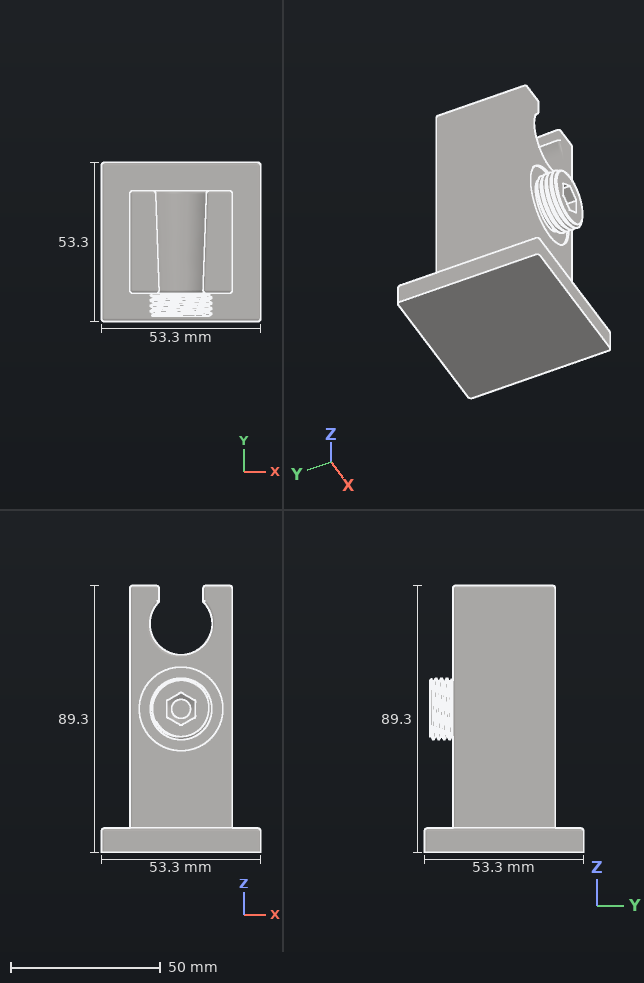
import cadquery as cq
import math

base_side = 53.34
base_height = 8.2
base_edge_radius = 1.15

total_height = 89.28
column_side = 34.29
column_edge_radius = 1.016
column_front = -column_side / 2

bore_height = 76.5
bore_front_radius = 10.35
gap_front_width = 14.6
cradle_draft = 2.0
cradle_spread = column_side * math.tan(math.radians(cradle_draft))

outlet_height = 48.0
recess_diameter = 28.0
recess_depth = 0.635

outlet_length = 7.62
outlet_tip = column_front - outlet_length
thread_pitch = 1.814
thread_major_radius = 20.6 / 2
thread_root_radius = 18.5 / 2
thread_turns = 6
thread_phase = 0.23
thread_start = thread_phase - thread_pitch
thread_end_chamfer = 0.75
thread_flank_angle = 27.5
thread_crest_width = 0.3
thread_embed = 0.2

hex_across_flats = 9.525
hex_across_corners = hex_across_flats / math.cos(math.pi / 6)
hex_depth = 7.62
socket_floor_diameter = 6.35
cone_half_angle = 59
cone_depth = (hex_across_corners - socket_floor_diameter) / 2 / math.tan(math.radians(cone_half_angle))


def front_plane(y, z):
    """Sketch plane facing -Y, with X to the right and Z up."""
    return cq.Plane(origin=(0, y, z), xDir=(1, 0, 0), normal=(0, -1, 0))


def make_base():
    plate = cq.Workplane("XY").box(base_side, base_side, base_height, centered=(True, True, False))
    return plate.edges("|Z or >Z").fillet(base_edge_radius)


def make_cradle():
    """Tapered bore joined to a tapered gap that opens upwards."""
    bore = cq.Solid.makeCone(
        bore_front_radius,
        bore_front_radius + cradle_spread,
        column_side,
        pnt=cq.Vector(0, column_front, bore_height),
        dir=cq.Vector(0, 1, 0),
    )
    front_half = gap_front_width / 2
    back_half = front_half + cradle_spread
    gap = (
        cq.Workplane("XY", origin=(0, 0, bore_height))
        .moveTo(-front_half, column_front)
        .lineTo(front_half, column_front)
        .lineTo(back_half, -column_front)
        .lineTo(-back_half, -column_front)
        .close()
        .extrude(total_height - bore_height)
    )
    return gap.union(cq.Workplane(bore))


def make_column():
    """Column with the cradle cut through it and all edges above the base rounded."""
    column = (
        cq.Workplane("XY", origin=(0, 0, base_height))
        .box(column_side, column_side, total_height - base_height, centered=(True, True, False))
        .cut(make_cradle())
    )
    column = column.edges("(<Y or >Y or >Z) and (not <Z)").fillet(column_edge_radius)
    recess = (
        cq.Workplane(front_plane(column_front, outlet_height))
        .circle(recess_diameter / 2)
        .extrude(-recess_depth)
    )
    return column.cut(recess)


def make_thread():
    """Right-handed helical ridge, longer than the outlet at both ends."""
    helix = cq.Wire.makeHelix(thread_pitch, thread_turns * thread_pitch, thread_root_radius)
    inner_radius = thread_root_radius - thread_embed
    crest_half = thread_crest_width / 2
    flank_run = (thread_major_radius - inner_radius) * math.tan(math.radians(thread_flank_angle))
    root_half = crest_half + flank_run
    ridge = (
        cq.Workplane("XZ")
        .moveTo(inner_radius, -root_half)
        .lineTo(thread_major_radius, -crest_half)
        .lineTo(thread_major_radius, crest_half)
        .lineTo(inner_radius, root_half)
        .close()
        .sweep(cq.Workplane(helix), isFrenet=True)
    )
    ridge = ridge.rotate((0, 0, 0), (0, 0, 1), -90).rotate((0, 0, 0), (1, 0, 0), -90)
    return ridge.translate((0, outlet_tip + thread_start, outlet_height))


def make_outlet():
    """Threaded stub rising from the floor of the recess, its thread bevelled at both ends."""
    tip_plane = front_plane(outlet_tip, outlet_height)
    core = cq.Workplane(tip_plane).circle(thread_root_radius).extrude(-(outlet_length + recess_depth))
    thread_envelope = (
        cq.Workplane(tip_plane)
        .circle(thread_major_radius)
        .extrude(-outlet_length)
        .edges()
        .chamfer(thread_end_chamfer)
    )
    return core.union(make_thread().intersect(thread_envelope))


def make_socket():
    """Hexagonal socket, two corners up and down, ending in a cone with a flat floor."""
    socket = (
        cq.Workplane(front_plane(outlet_tip, outlet_height))
        .transformed(rotate=(0, 0, 90))
        .polygon(6, hex_across_corners)
        .extrude(-hex_depth)
    )
    cone = cq.Solid.makeCone(
        hex_across_corners / 2,
        socket_floor_diameter / 2,
        cone_depth,
        pnt=cq.Vector(0, outlet_tip + hex_depth, outlet_height),
        dir=cq.Vector(0, 1, 0),
    )
    return socket.union(cq.Workplane(cone))


result = make_base().union(make_column()).union(make_outlet()).cut(make_socket())